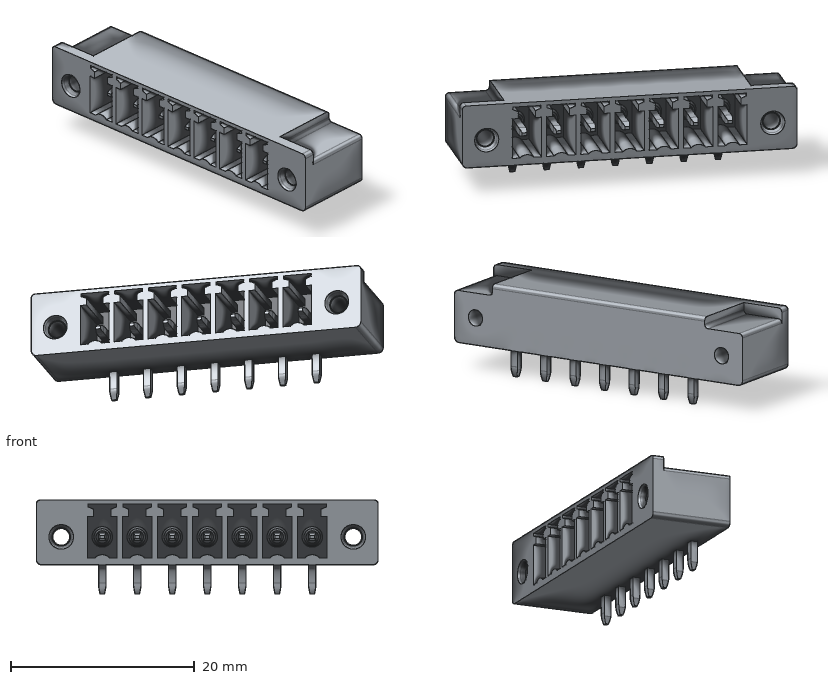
import cadquery as cq
import math


length = 37.25
depth = 9.2
height = 7.08
base_corner_radius = 0.6
corner_radius = 0.45

flange_thickness = 1.25
raised_length = 27.45
shoulder_drop = 1.23

pin_count = 7
pin_row_span = 22.88
axis_height = 3.05

cavity_width = 3.25
cavity_floor = 0.8
cavity_ceiling = 5.3
cavity_depth = 6.7
key_neck_width = 1.9
key_neck_top = 6.07
key_head_width = 3.13
key_head_bottom = 6.35
key_head_top = 6.65
floor_rib_width = 1.55
floor_rib_height = 0.35

collar_base_radius = 1.1
collar_step_radius = 0.9
collar_top_radius = 0.67
collar_base_height = 0.45
collar_top_height = 0.15

hole_spacing = 31.82
hole_mouth_diameter = 2.7
hole_bend_diameter = 2.4
hole_bend_depth = 0.25
hole_throat_diameter = 2.0
hole_throat_depth = 0.8
hole_bore_diameter = 1.83

pin_width = 0.82
flat_tip_width = 0.52
flat_taper_length = 0.82
arc_tip_width = 0.35
arc_taper_length = 1.2
pin_front_gap = 1.3
leg_to_back = 1.23
pin_drop = 3.15

pin_pitch = pin_row_span / (pin_count - 1)
pin_positions = [i * pin_pitch - pin_row_span / 2 for i in range(pin_count)]
leg_y = depth - leg_to_back
pin_back_y = leg_y + pin_width / 2
pin_top_z = axis_height + pin_width / 2


def make_block():
    """Rounded block with a lowered, rounded shoulder at each end behind the flange."""
    block = cq.Workplane("XY").box(length, depth, height, centered=(True, False, False))
    block = block.edges("|Y and <Z").fillet(base_corner_radius)
    block = block.edges("|Y and >Z").fillet(corner_radius)
    for side in (-1, 1):
        block = block.cut(make_shoulder_cut(side))
    return block.edges(">Y and >Z").fillet(corner_radius)


def make_shoulder_cut(side):
    """Material removed above one shoulder; its lower edges are rounded at both ends."""
    wall_x = side * raised_length / 2
    end_x = side * length / 2
    floor_z = height - shoulder_drop
    r = corner_radius
    arc_inset = r * (1 - math.cos(math.radians(45)))
    return (
        cq.Workplane("XZ", origin=(0, flange_thickness, 0))
        .moveTo(wall_x, height)
        .lineTo(wall_x, floor_z + r)
        .threePointArc((wall_x + side * arc_inset, floor_z + arc_inset), (wall_x + side * r, floor_z))
        .lineTo(end_x - side * r, floor_z)
        .threePointArc((end_x - side * arc_inset, floor_z - arc_inset), (end_x, floor_z - r))
        .lineTo(end_x, height)
        .close()
        .extrude(-(depth - flange_thickness))
    )


def make_cavity(x):
    """Keyed cavity around one contact, with a rounded rib along its floor."""
    half = cavity_width / 2
    neck = key_neck_width / 2
    head = key_head_width / 2
    rib = floor_rib_width / 2
    return (
        cq.Workplane("XZ", origin=(x, 0, 0))
        .moveTo(rib, cavity_floor)
        .lineTo(half, cavity_floor)
        .lineTo(half, cavity_ceiling)
        .lineTo(neck, cavity_ceiling)
        .lineTo(neck, key_neck_top)
        .lineTo(head, key_head_bottom)
        .lineTo(head, key_head_top)
        .lineTo(-head, key_head_top)
        .lineTo(-head, key_head_bottom)
        .lineTo(-neck, key_neck_top)
        .lineTo(-neck, cavity_ceiling)
        .lineTo(-half, cavity_ceiling)
        .lineTo(-half, cavity_floor)
        .lineTo(-rib, cavity_floor)
        .threePointArc((0, cavity_floor + floor_rib_height), (rib, cavity_floor))
        .close()
        .extrude(-cavity_depth)
    )


def make_collar(x):
    """Two stacked cones that narrow toward the mating face, rooted in the cavity's back wall."""
    step_y = cavity_depth - collar_base_height
    return (
        cq.Workplane("XY")
        .moveTo(0, cavity_depth)
        .lineTo(collar_base_radius, cavity_depth)
        .lineTo(collar_step_radius, step_y)
        .lineTo(collar_top_radius, step_y - collar_top_height)
        .lineTo(0, step_y - collar_top_height)
        .close()
        .revolve(360, (0, 0), (0, 1))
        .translate((x, 0, axis_height))
    )


def make_mounting_hole(x):
    """Hole that narrows in two cones, then steps down to a bore through to the back."""
    return (
        cq.Workplane("XY")
        .lineTo(hole_mouth_diameter / 2, 0)
        .lineTo(hole_bend_diameter / 2, hole_bend_depth)
        .lineTo(hole_throat_diameter / 2, hole_throat_depth)
        .lineTo(hole_bore_diameter / 2, hole_throat_depth)
        .lineTo(hole_bore_diameter / 2, depth)
        .lineTo(0, depth)
        .close()
        .revolve(360, (0, 0), (0, 1))
        .translate((x, 0, axis_height))
    )


def make_pin(x):
    """Right-angle square pin: a contact toward the mating face and a solder leg below."""
    return make_contact(x).union(make_leg(x))


def make_tapered_bar(bar_length):
    """Square bar along +Z whose far end narrows in flats along X and in arcs along Y."""
    half = pin_width / 2
    tip_x = flat_tip_width / 2
    tip_y = arc_tip_width / 2
    flat_start = bar_length - flat_taper_length
    arc_start = bar_length - arc_taper_length
    arc_middle = (half - (half - tip_y) / 4, bar_length - arc_taper_length / 2)
    flat_profile = (
        cq.Workplane("XZ")
        .moveTo(-half, 0)
        .lineTo(half, 0)
        .lineTo(half, flat_start)
        .lineTo(tip_x, bar_length)
        .lineTo(-tip_x, bar_length)
        .lineTo(-half, flat_start)
        .close()
        .extrude(half, both=True)
    )
    arc_profile = (
        cq.Workplane("YZ")
        .moveTo(-half, 0)
        .lineTo(half, 0)
        .lineTo(half, arc_start)
        .threePointArc(arc_middle, (tip_y, bar_length))
        .lineTo(-tip_y, bar_length)
        .threePointArc((-arc_middle[0], arc_middle[1]), (-half, arc_start))
        .close()
        .extrude(half, both=True)
    )
    return flat_profile.intersect(arc_profile)


def make_contact(x):
    """Horizontal arm whose tip points at the mating face."""
    bar = make_tapered_bar(pin_back_y - pin_front_gap)
    bar = bar.rotate((0, 0, 0), (1, 0, 0), 90)
    return bar.translate((x, pin_back_y, axis_height))


def make_leg(x):
    """Vertical arm whose tip points down, below the housing."""
    bar = make_tapered_bar(pin_top_z + pin_drop)
    bar = bar.rotate((0, 0, 0), (1, 0, 0), 180)
    return bar.translate((x, leg_y, pin_top_z))


pins = [make_pin(x) for x in pin_positions]

housing = make_block()
for x in pin_positions:
    housing = housing.cut(make_cavity(x)).union(make_collar(x))
for side in (-1, 1):
    housing = housing.cut(make_mounting_hole(side * hole_spacing / 2))
for pin in pins:
    housing = housing.cut(pin)

result = cq.Compound.makeCompound([housing.val(), *[pin.val() for pin in pins]])